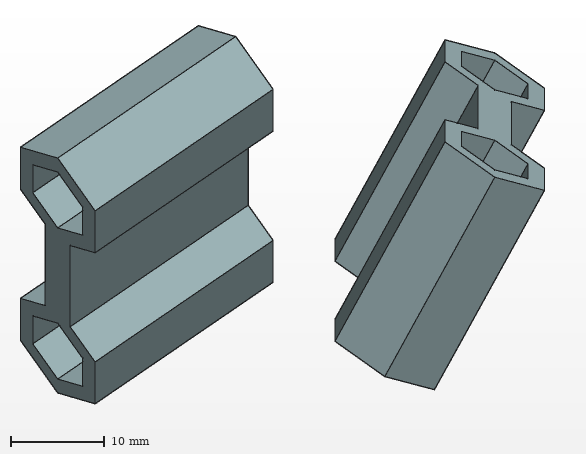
import cadquery as cq
import math

total_height = 38.85
length = 25.6
outer_flats = 12.0
bore_flats = 8.0
web_thickness = 4.0

corner_ratio = 1 / math.cos(math.pi / 6)
tube_offset = (total_height - outer_flats * corner_ratio) / 2


def hex_prism(flats, center_z):
    """Hexagonal prism along Y, centred on Y, with a corner pointing up."""
    radius = flats * corner_ratio / 2
    corner_angles = [math.radians(90 + 60 * i) for i in range(6)]
    corners = [
        (radius * math.cos(a), center_z + radius * math.sin(a))
        for a in corner_angles
    ]
    return cq.Workplane("XZ").polyline(corners).close().extrude(length / 2, both=True)


result = cq.Workplane("XY").box(web_thickness, length, 2 * tube_offset)

tube_centers = (-tube_offset, tube_offset)
for center_z in tube_centers:
    result = result.union(hex_prism(outer_flats, center_z))
for center_z in tube_centers:
    result = result.cut(hex_prism(bore_flats, center_z))